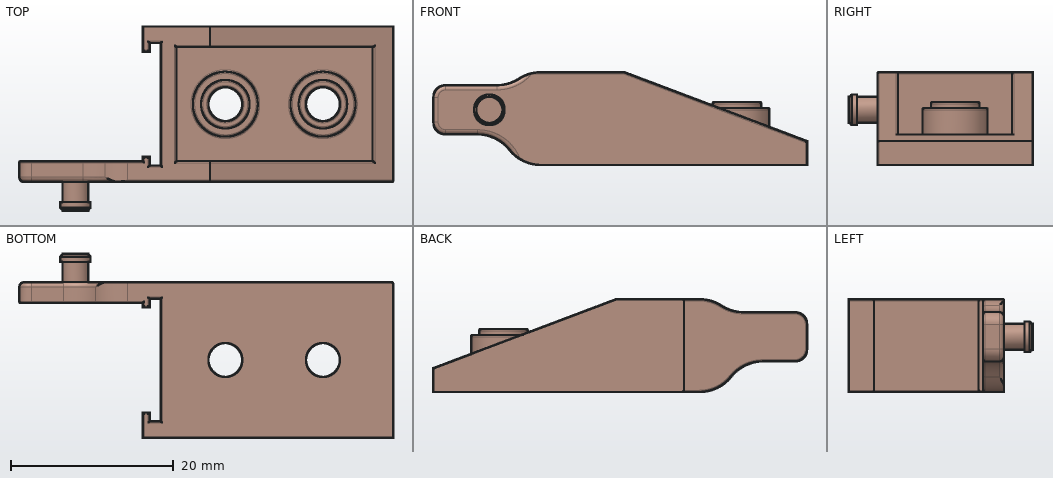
import cadquery as cq
import math

LENGTH = 45.9
WIDTH = 19.1
HEIGHT = 11.45
END_HEIGHT = 2.95
SLOPE_START_X = 23.4
EDGE_RADIUS = 0.25
MARGIN = 9.2

TAB_THICKNESS = 2.55
TAB_BOTTOM = 3.75
TAB_TOP = 9.8
TAB_CORNER_RADIUS = 1.5
TAB_FACE_RADIUS = 0.6
BLEND_RADIUS = 5.0
BLEND_END_X = 13.25

PIN_X = 6.9
PIN_Z = (TAB_BOTTOM + TAB_TOP) / 2
PIN_LENGTH = 3.55
PIN_RADIUS = 1.6
PIN_HEAD_RADIUS = 1.9
PIN_HEAD_LENGTH = 1.05
PIN_HEAD_BEVEL = 0.4

LIP_X = 15.15
LIP_THICKNESS = 0.85
CHANNEL_FLOOR_X = 17.35
CHANNEL_WIDTH = 15.0
CHANNEL_MOUTH = 12.85

POCKET_START_X = 19.3
POCKET_END_X = 43.38
POCKET_WIDTH = 14.0
FLOOR_THICKNESS = 2.0

BOSS_SPACING = 12.0
BOSS_FIRST_X = 25.3
BOSS_RADIUS = 4.0
BOSS_SHOULDER_Z = 7.0
BOSS_COLLAR_RADIUS = 3.0
BOSS_TOP_Z = 7.75
BOSS_HOLE_RADIUS = 2.05

MID_Y = WIDTH / 2
REACH = 0.05
UPRIGHT_EDGES = cq.selectors.ParallelDirSelector(cq.Vector(0, 0, 1))


def blend_run(rise):
    """Length in X of one of the two equal arcs that together climb `rise`."""
    return math.sqrt(BLEND_RADIUS * rise - (rise / 2) ** 2)


TOP_RISE = HEIGHT - TAB_TOP
TOP_RUN = blend_run(TOP_RISE)
BOTTOM_RUN = blend_run(TAB_BOTTOM)
TOP_BLEND_X = BLEND_END_X - 2 * TOP_RUN
BOTTOM_BLEND_X = BLEND_END_X - 2 * BOTTOM_RUN


def extrude_back(outline):
    """Extrude a closed XZ outline from the front face to the back face."""
    return outline.close().extrude(-WIDTH)


def make_footprint():
    """Plan shape: tab, T-channel and rectangular body, at full height."""
    mouth_front = MID_Y - CHANNEL_MOUTH / 2
    mouth_back = MID_Y + CHANNEL_MOUTH / 2
    channel_front = MID_Y - CHANNEL_WIDTH / 2
    channel_back = MID_Y + CHANNEL_WIDTH / 2
    lip_inner_x = LIP_X + LIP_THICKNESS
    return (
        cq.Workplane("XY")
        .polyline([
            (0, 0),
            (LENGTH, 0),
            (LENGTH, WIDTH),
            (LIP_X, WIDTH),
            (LIP_X, mouth_back),
            (lip_inner_x, mouth_back),
            (lip_inner_x, channel_back),
            (CHANNEL_FLOOR_X, channel_back),
            (CHANNEL_FLOOR_X, channel_front),
            (lip_inner_x, channel_front),
            (lip_inner_x, mouth_front),
            (LIP_X, mouth_front),
            (LIP_X, TAB_THICKNESS),
            (0, TAB_THICKNESS),
        ])
        .close()
        .extrude(HEIGHT)
    )


def make_side_profile():
    """Side shape: tab, S-bends, flat top and sloping rim."""
    return extrude_back(
        cq.Workplane("XZ")
        .moveTo(BLEND_END_X, 0)
        .lineTo(LENGTH, 0)
        .lineTo(LENGTH, END_HEIGHT)
        .lineTo(SLOPE_START_X, HEIGHT)
        .lineTo(BLEND_END_X, HEIGHT)
        .radiusArc((BLEND_END_X - TOP_RUN, HEIGHT - TOP_RISE / 2), -BLEND_RADIUS)
        .radiusArc((TOP_BLEND_X, TAB_TOP), BLEND_RADIUS)
        .lineTo(TAB_CORNER_RADIUS, TAB_TOP)
        .radiusArc((0, TAB_TOP - TAB_CORNER_RADIUS), -TAB_CORNER_RADIUS)
        .lineTo(0, TAB_BOTTOM + TAB_CORNER_RADIUS)
        .radiusArc((TAB_CORNER_RADIUS, TAB_BOTTOM), -TAB_CORNER_RADIUS)
        .lineTo(BOTTOM_BLEND_X, TAB_BOTTOM)
        .radiusArc((BLEND_END_X - BOTTOM_RUN, TAB_BOTTOM / 2), BLEND_RADIUS)
        .radiusArc((BLEND_END_X, 0), -BLEND_RADIUS)
    )


def make_rim_trim():
    """Oversized solid that rounds the front edge of the top, slope and end."""
    trim = extrude_back(
        cq.Workplane("XZ")
        .moveTo(-MARGIN, -MARGIN)
        .lineTo(LENGTH, -MARGIN)
        .lineTo(LENGTH, END_HEIGHT)
        .lineTo(SLOPE_START_X, HEIGHT)
        .lineTo(-MARGIN, HEIGHT)
    )
    return trim.faces("<Y").edges().fillet(EDGE_RADIUS)


def make_tab_trim():
    """Oversized solid that rounds the tab's front edge and fades out over the S-bends."""
    trim = extrude_back(
        cq.Workplane("XZ")
        .moveTo(LENGTH + MARGIN, -MARGIN)
        .lineTo(LENGTH + MARGIN, HEIGHT + MARGIN)
        .lineTo(TOP_BLEND_X + BLEND_RADIUS, HEIGHT + MARGIN)
        .lineTo(TOP_BLEND_X + BLEND_RADIUS, TAB_TOP + BLEND_RADIUS)
        .radiusArc((TOP_BLEND_X, TAB_TOP), BLEND_RADIUS)
        .lineTo(TAB_CORNER_RADIUS, TAB_TOP)
        .radiusArc((0, TAB_TOP - TAB_CORNER_RADIUS), -TAB_CORNER_RADIUS)
        .lineTo(0, TAB_BOTTOM + TAB_CORNER_RADIUS)
        .radiusArc((TAB_CORNER_RADIUS, TAB_BOTTOM), -TAB_CORNER_RADIUS)
        .lineTo(BOTTOM_BLEND_X, TAB_BOTTOM)
        .radiusArc((BOTTOM_BLEND_X + BLEND_RADIUS, TAB_BOTTOM - BLEND_RADIUS), BLEND_RADIUS)
        .lineTo(BOTTOM_BLEND_X + BLEND_RADIUS, -MARGIN)
    )
    return trim.faces("<Y").edges().fillet(TAB_FACE_RADIUS)


def round_channel_edges(body):
    """Round the upper and lower edges of the channel and the back edge of the tab."""
    near_channel = cq.selectors.BoxSelector(
        (-REACH, MID_Y - CHANNEL_WIDTH / 2 - REACH, -REACH),
        (CHANNEL_FLOOR_X + REACH, WIDTH - REACH, HEIGHT + REACH),
    )
    return body.edges(near_channel - UPRIGHT_EDGES).fillet(EDGE_RADIUS)


def cut_pocket(body):
    """Cut the pocket and round its rim."""
    pocket_front = MID_Y - POCKET_WIDTH / 2
    pocket = cq.Workplane("XY").box(
        POCKET_END_X - POCKET_START_X, POCKET_WIDTH, HEIGHT, centered=False
    ).translate((POCKET_START_X, pocket_front, FLOOR_THICKNESS))
    rim = cq.selectors.BoxSelector(
        (POCKET_START_X - REACH, pocket_front - REACH, FLOOR_THICKNESS + REACH),
        (POCKET_END_X + REACH, pocket_front + POCKET_WIDTH + REACH, HEIGHT + REACH),
    )
    return body.cut(pocket).edges(rim - UPRIGHT_EDGES).fillet(EDGE_RADIUS)


def make_boss():
    """Stepped boss with rounded edges and a flared foot, standing on the pocket floor."""
    r = EDGE_RADIUS
    return (
        cq.Workplane("XZ")
        .moveTo(0, 0)
        .lineTo(BOSS_RADIUS + r, 0)
        .lineTo(BOSS_RADIUS + r, FLOOR_THICKNESS)
        .radiusArc((BOSS_RADIUS, FLOOR_THICKNESS + r), r)
        .lineTo(BOSS_RADIUS, BOSS_SHOULDER_Z - r)
        .radiusArc((BOSS_RADIUS - r, BOSS_SHOULDER_Z), -r)
        .lineTo(BOSS_COLLAR_RADIUS, BOSS_SHOULDER_Z)
        .lineTo(BOSS_COLLAR_RADIUS, BOSS_TOP_Z - r)
        .radiusArc((BOSS_COLLAR_RADIUS - r, BOSS_TOP_Z), -r)
        .lineTo(0, BOSS_TOP_Z)
        .close()
        .revolve(360, (0, 0), (0, 1))
    )


def make_boss_hole():
    """Through hole with a rounded upper edge."""
    r = EDGE_RADIUS
    return (
        cq.Workplane("XZ")
        .moveTo(0, 0)
        .lineTo(BOSS_HOLE_RADIUS, 0)
        .lineTo(BOSS_HOLE_RADIUS, BOSS_TOP_Z - r)
        .radiusArc((BOSS_HOLE_RADIUS + r, BOSS_TOP_Z), r)
        .lineTo(0, BOSS_TOP_Z)
        .close()
        .revolve(360, (0, 0), (0, 1))
    )


def make_pin():
    """Pin with a bevelled head, pointing forward from the tab."""
    shaft = cq.Workplane("XZ").center(PIN_X, PIN_Z).circle(PIN_RADIUS).extrude(PIN_LENGTH)
    head = (
        cq.Workplane("XZ", origin=(0, PIN_HEAD_LENGTH - PIN_LENGTH, 0))
        .center(PIN_X, PIN_Z)
        .circle(PIN_HEAD_RADIUS)
        .extrude(PIN_HEAD_LENGTH)
        .faces("<Y")
        .chamfer(PIN_HEAD_BEVEL)
    )
    return shaft.union(head)


body = make_footprint().intersect(make_side_profile())
body = round_channel_edges(body)
body = body.intersect(make_rim_trim()).intersect(make_tab_trim())
body = cut_pocket(body)
for x in (BOSS_FIRST_X, BOSS_FIRST_X + BOSS_SPACING):
    body = body.union(make_boss().translate((x, MID_Y, 0)))
    body = body.cut(make_boss_hole().translate((x, MID_Y, 0)))

result = body.union(make_pin())